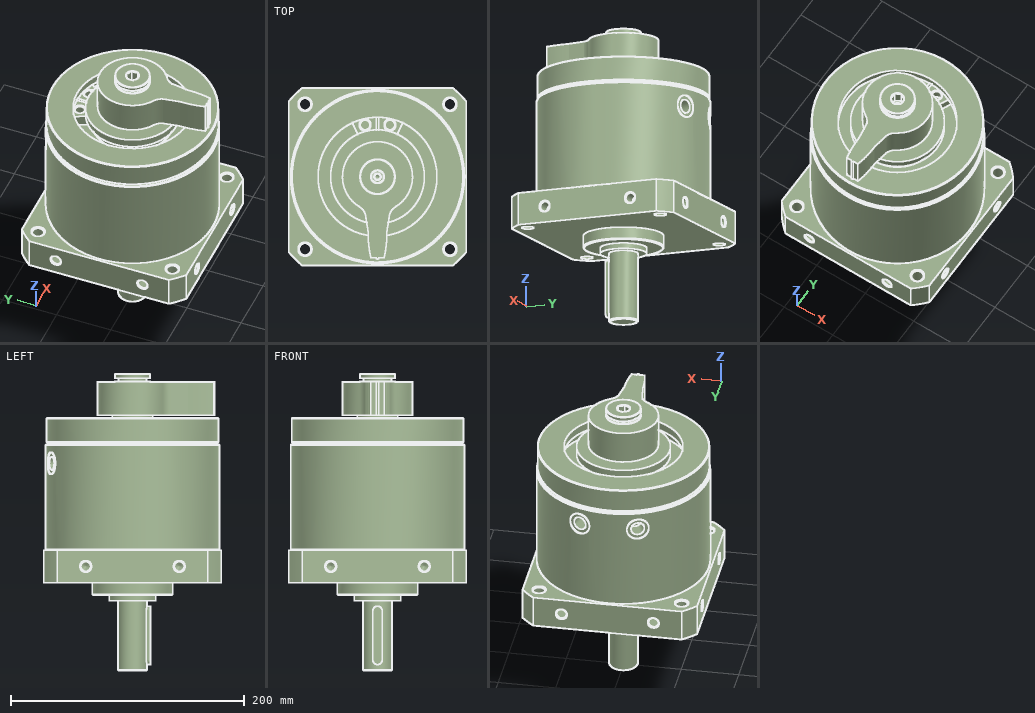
import cadquery as cq
import math


FLANGE_SIDE = 152.0
FLANGE_HEIGHT = 28.0
FLANGE_CORNER_DIAMETER = 199.4
MOUNT_HOLE_DIAMETER = 10.11
MOUNT_HOLE_MOUTH_DIAMETER = 12.0
MOUNT_HOLE_MOUTH_ANGLE = 90.0
MOUNT_HOLE_OFFSET = 62.0
TAP_DIAMETER = 8.38
TAP_MOUTH_DIAMETER = 10.0
SIDE_TAP_OFFSET = 40.0
SIDE_TAP_DEPTH = 15.0
DRILL_POINT_ANGLE = 118.0

BOSS_DIAMETER = 69.0
BOSS_LENGTH = 10.6
BOSS_CHAMFER = 0.9
BODY_DIAMETER = 149.0
BODY_TOP = 118.3
EDGE_CHAMFER = 0.6
NECK_DIAMETER = 143.0
COVER_DIAMETER = 147.4
COVER_BOTTOM = 120.0
COVER_TOP = 141.0

GROOVE_OUTER_DIAMETER = 101.8
GROOVE_INNER_DIAMETER = 80.4
GROOVE_DEPTH = 17.7
GROOVE_LEDGE_DEPTH = 7.9
GROOVE_FLOOR = COVER_TOP - GROOVE_DEPTH
GROOVE_LEDGE = COVER_TOP - GROOVE_LEDGE_DEPTH
UNDERCUT_OUTER_DIAMETER = 112.2
UNDERCUT_INNER_DIAMETER = 70.0
STOP_END_ANGLE = 25.0
STOP_GAP = 2.3
STOP_TAP_ANGLE = 13.5

PORT_DIAMETER = 11.45
PORT_DEPTH = 15.0
SPOTFACE_DIAMETER = 19.0
SPOTFACE_DEPTH = 1.0
PORT_ANGLE = 20.0
PORT_HEIGHT = 102.2

SHAFT_DIAMETER = 25.0
SHAFT_BOTTOM = -75.4
SHAFT_END_CHAMFER = 1.0
COLLAR_DIAMETER = 40.0
COLLAR_BOTTOM = -15.4
JOURNAL_DIAMETER = 35.0
SPINDLE_DIAMETER = 30.0
SHAFT_TOP = 179.0
CLIP_GROOVE_DIAMETER = 24.0
CLIP_GROOVE_BOTTOM = 172.4
CLIP_GROOVE_TOP = 174.8
HEX_ACROSS_FLATS = 10.0
HEX_DEPTH = 12.0
HEX_MOUTH_DIAMETER = 11.5
HEX_MOUTH_TAPER = 45.0
SHAFT_TOP_CHAMFER = 0.4
CENTRE_HOLE_DIAMETER = 4.92
CENTRE_HOLE_MOUTH_DIAMETER = 6.1
CENTRE_HOLE_DEPTH = 10.0

KEY_WIDTH = 8.0
KEY_HEIGHT = 7.0
KEY_LENGTH = 50.0
KEY_TOP = -20.0
KEY_STAND_OUT = 15.5

LEVER_BOTTOM = 143.3
LEVER_TOP = 171.8
LEVER_HUB_DIAMETER = 60.0
LEVER_BORE_DIAMETER = 30.1
ARM_NECK_HALF_WIDTH = 10.3
ARM_NECK_Y = -32.5
ARM_MIDDLE_HALF_WIDTH = 8.0
ARM_MIDDLE_Y = -47.3
ARM_TIP_HALF_WIDTH = 5.7
ARM_TIP_Y = -69.4
ARM_TAPER_BULGE = 0.7
ARM_BLEND_START_Y = -25.7
TIP_RIB_DIAMETER = 2.2


def cylinder(diameter, bottom, top):
    """Upright cylinder on the Z axis."""
    return cq.Workplane("XY").workplane(offset=bottom).circle(diameter / 2).extrude(top - bottom)


def ring(outer_diameter, inner_diameter, bottom, top):
    """Upright ring on the Z axis."""
    return cylinder(outer_diameter, bottom, top).cut(cylinder(inner_diameter, bottom, top))


def drilled_hole(diameter, mouth_diameter, depth):
    """Cutter for a drilled hole with a chamfered mouth, entering downward at the origin."""
    radius = diameter / 2
    mouth_radius = mouth_diameter / 2
    chamfer = mouth_radius - radius
    point_length = radius / math.tan(math.radians(DRILL_POINT_ANGLE / 2))
    return (
        cq.Workplane("XZ")
        .moveTo(0, 0)
        .lineTo(mouth_radius, 0)
        .lineTo(radius, -chamfer)
        .lineTo(radius, -depth)
        .lineTo(0, -depth - point_length)
        .close()
        .revolve(360, (0, 0, 0), (0, 1, 0))
    )


def make_flange():
    plate = cq.Workplane("XY").rect(FLANGE_SIDE, FLANGE_SIDE).extrude(FLANGE_HEIGHT)
    plate = plate.intersect(cylinder(FLANGE_CORNER_DIAMETER, 0, FLANGE_HEIGHT))
    plate = (
        plate.faces(">Z")
        .workplane(origin=(0, 0, FLANGE_HEIGHT))
        .rect(2 * MOUNT_HOLE_OFFSET, 2 * MOUNT_HOLE_OFFSET, forConstruction=True)
        .vertices()
        .cskHole(MOUNT_HOLE_DIAMETER, MOUNT_HOLE_MOUTH_DIAMETER, MOUNT_HOLE_MOUTH_ANGLE)
    )
    side_tap = drilled_hole(TAP_DIAMETER, TAP_MOUTH_DIAMETER, SIDE_TAP_DEPTH)
    side_tap = side_tap.rotate((0, 0, 0), (1, 0, 0), 90)
    for x in (-SIDE_TAP_OFFSET, SIDE_TAP_OFFSET):
        front_tap = side_tap.translate((x, -FLANGE_SIDE / 2, FLANGE_HEIGHT / 2))
        for quarter in range(4):
            plate = plate.cut(front_tap.rotate((0, 0, 0), (0, 0, 1), 90 * quarter))
    return plate


def make_groove():
    """Ring groove with a T-shaped section: narrow at the cover face, wider below the ledges."""
    mouth = ring(GROOVE_OUTER_DIAMETER, GROOVE_INNER_DIAMETER, GROOVE_LEDGE, COVER_TOP)
    undercut = ring(UNDERCUT_OUTER_DIAMETER, UNDERCUT_INNER_DIAMETER, GROOVE_FLOOR, GROOVE_LEDGE)
    return mouth.union(undercut)


def make_stops():
    """Two blocks that fill the groove undercut, each with a tapped hole, parted by a narrow gap."""
    height = GROOVE_LEDGE - GROOVE_FLOOR
    reach = UNDERCUT_OUTER_DIAMETER
    half_width = reach * math.tan(math.radians(STOP_END_ANGLE))
    floor_plane = cq.Workplane("XY").workplane(offset=GROOVE_FLOOR)
    wedge = floor_plane.polyline([(0, 0), (half_width, reach), (-half_width, reach)]).close().extrude(height)
    gap = floor_plane.rect(STOP_GAP, 2 * reach).extrude(height)
    stops = ring(UNDERCUT_OUTER_DIAMETER, UNDERCUT_INNER_DIAMETER, GROOVE_FLOOR, GROOVE_LEDGE)
    stops = stops.intersect(wedge).cut(gap)
    tap_circle_radius = (GROOVE_OUTER_DIAMETER + GROOVE_INNER_DIAMETER) / 4
    tap = drilled_hole(TAP_DIAMETER, TAP_MOUTH_DIAMETER, height)
    tap = tap.translate((0, tap_circle_radius, GROOVE_LEDGE))
    for angle in (-STOP_TAP_ANGLE, STOP_TAP_ANGLE):
        stops = stops.cut(tap.rotate((0, 0, 0), (0, 0, 1), angle))
    return stops


def cut_ports(housing):
    """Two radial ports with spotfaces on the rear of the body."""
    surface = BODY_DIAMETER / 2
    port_plane = cq.Workplane("XZ", origin=(0, surface, PORT_HEIGHT))
    port = port_plane.circle(PORT_DIAMETER / 2).extrude(PORT_DEPTH)
    spotface = port_plane.circle(SPOTFACE_DIAMETER / 2).extrude(SPOTFACE_DEPTH)
    for angle in (-PORT_ANGLE, PORT_ANGLE):
        housing = housing.cut(port.union(spotface).rotate((0, 0, 0), (0, 0, 1), angle))
    return housing


def make_housing():
    boss = cylinder(BOSS_DIAMETER, -BOSS_LENGTH, 0).faces("<Z").chamfer(BOSS_CHAMFER)
    body = cylinder(BODY_DIAMETER, FLANGE_HEIGHT, BODY_TOP).faces("<Z or >Z").chamfer(EDGE_CHAMFER)
    neck = cylinder(NECK_DIAMETER, BODY_TOP, COVER_BOTTOM)
    cover = cylinder(COVER_DIAMETER, COVER_BOTTOM, COVER_TOP).faces("<Z or >Z").chamfer(EDGE_CHAMFER)
    housing = make_flange().union(boss).union(body).union(neck).union(cover)
    housing = housing.cut(make_groove()).union(make_stops())
    return cut_ports(housing).cut(cylinder(JOURNAL_DIAMETER, -BOSS_LENGTH, COVER_TOP))


def make_key():
    return (
        cq.Workplane("XZ", origin=(0, -KEY_STAND_OUT + KEY_HEIGHT, KEY_TOP - KEY_LENGTH / 2))
        .slot2D(KEY_LENGTH, KEY_WIDTH, 90)
        .extrude(KEY_HEIGHT)
    )


def make_shaft(key):
    shaft = cylinder(SHAFT_DIAMETER, SHAFT_BOTTOM, COLLAR_BOTTOM).faces("<Z").chamfer(SHAFT_END_CHAMFER)
    shaft = shaft.union(cylinder(COLLAR_DIAMETER, COLLAR_BOTTOM, -BOSS_LENGTH))
    shaft = shaft.union(cylinder(JOURNAL_DIAMETER, -BOSS_LENGTH, LEVER_BOTTOM))
    spindle = cylinder(SPINDLE_DIAMETER, LEVER_BOTTOM, SHAFT_TOP)
    shaft = shaft.union(spindle.faces(">Z").chamfer(SHAFT_TOP_CHAMFER))
    clip_groove = ring(SPINDLE_DIAMETER, CLIP_GROOVE_DIAMETER, CLIP_GROOVE_BOTTOM, CLIP_GROOVE_TOP)
    hex_floor = SHAFT_TOP - HEX_DEPTH
    hex_socket = (
        cq.Workplane("XY").workplane(offset=hex_floor)
        .polygon(6, HEX_ACROSS_FLATS, circumscribed=True).extrude(HEX_DEPTH)
    )
    mouth_depth = (HEX_MOUTH_DIAMETER - HEX_ACROSS_FLATS) / 2
    hex_mouth = (
        cq.Workplane("XY").workplane(offset=SHAFT_TOP)
        .circle(HEX_MOUTH_DIAMETER / 2).extrude(-mouth_depth, taper=HEX_MOUTH_TAPER)
    )
    centre_hole = drilled_hole(CENTRE_HOLE_DIAMETER, CENTRE_HOLE_MOUTH_DIAMETER, CENTRE_HOLE_DEPTH)
    centre_hole = centre_hole.translate((0, 0, hex_floor))
    return shaft.cut(clip_groove).cut(hex_socket).cut(hex_mouth).cut(centre_hole).cut(key)


def make_lever():
    height = LEVER_TOP - LEVER_BOTTOM
    hub_radius = LEVER_HUB_DIAMETER / 2
    blend_x = math.sqrt(hub_radius**2 - ARM_BLEND_START_Y**2)
    taper_middle = (
        -(ARM_MIDDLE_HALF_WIDTH + ARM_TIP_HALF_WIDTH) / 2 - ARM_TAPER_BULGE,
        (ARM_MIDDLE_Y + ARM_TIP_Y) / 2,
    )
    left_half = (
        cq.Workplane("XY").workplane(offset=LEVER_BOTTOM)
        .moveTo(0, hub_radius)
        .threePointArc((-hub_radius, 0), (-blend_x, ARM_BLEND_START_Y))
        .tangentArcPoint((-ARM_NECK_HALF_WIDTH, ARM_NECK_Y), relative=False)
        .lineTo(-ARM_MIDDLE_HALF_WIDTH, ARM_MIDDLE_Y)
        .threePointArc(taper_middle, (-ARM_TIP_HALF_WIDTH, ARM_TIP_Y))
        .lineTo(0, ARM_TIP_Y)
        .close().extrude(height)
    )
    rib = (
        cq.Workplane("XY").workplane(offset=LEVER_BOTTOM)
        .center(0, ARM_TIP_Y).circle(TIP_RIB_DIAMETER / 2).extrude(height)
    )
    lever = left_half.union(left_half.mirror("YZ")).union(rib)
    return lever.cut(cylinder(LEVER_BORE_DIAMETER, LEVER_BOTTOM, LEVER_TOP))


housing = make_housing()
key = make_key()
shaft = make_shaft(key)
lever = make_lever()

result = cq.Compound.makeCompound([housing.val(), shaft.val(), key.val(), lever.val()])